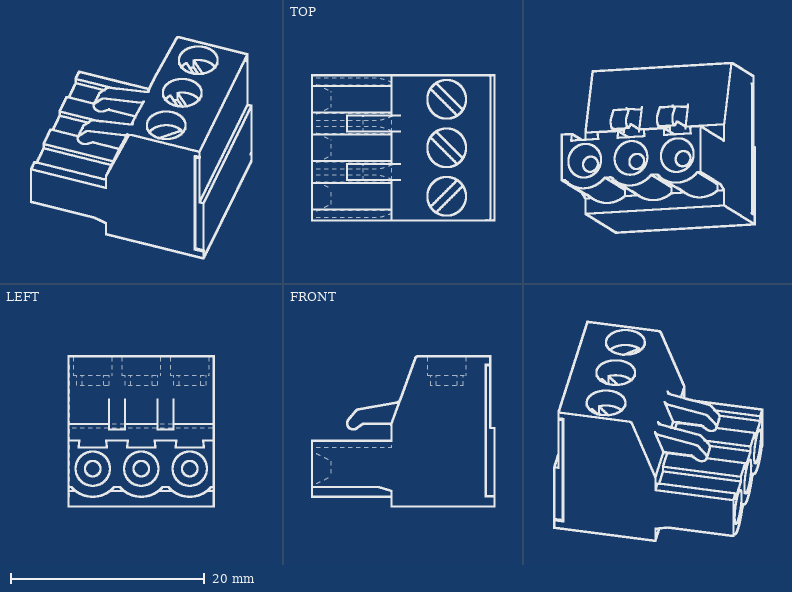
import cadquery as cq
import math


pole_count = 3
pitch = 5.0
width = pole_count * pitch
pole_ys = [(i - (pole_count - 1) / 2) * pitch for i in range(pole_count)]
gap_ys = [(near + far) / 2 for near, far in zip(pole_ys, pole_ys[1:])]

length = 18.85
height = 15.5
plug_length = 8.2
slope_bottom_z = 8.53
slope_lean = 20.0
slope_edge_radius = 0.32
back_step_x = 18.41
back_step_z = 8.1

plug_top_z = 6.8
socket_z = 3.9
barrel_radius = 2.9
web_bottom_z = 2.0
web_ramp_length = 1.3
web_ramp_drop = 0.39

keyway_depth = 0.7
keyway_top_width = 2.76
keyway_floor_width = 2.92

socket_mouth_diameter = 3.54
socket_end_diameter = 1.6
socket_depth = 2.0

screw_x = 13.9
screw_diameter = 4.0
screw_head_depth = 2.0
screw_slot_width = 0.83
screw_slot_depth = 1.0
screw_slot_angles = [45.0, -45.0, -45.0]

latch_width = 1.66
latch_underside_z = slope_bottom_z
latch_root_z = 10.77
latch_top_angle = 10.0
latch_nose_angle = 50.0
latch_bend_x = 4.64
latch_bend_radius = 0.5
latch_tip_radius = 0.63
latch_tip_z = 8.57
latch_chin_angle = 36.0
latch_top_root_radius = 0.5
latch_underside_root_radius = 0.2
latch_embed = 1.0

seam_x = 17.88
seam_bottom_z = 1.02
seam_top_z = 14.64
seam_width = 0.08
seam_depth = 0.1


def slope_x(z):
    """X of the sloped front face at height z."""
    return plug_length + (z - slope_bottom_z) * math.tan(math.radians(slope_lean))


def extrude_across(profile, y_width):
    """Extrude a closed XZ workplane profile along Y, centred on Y = 0."""
    return profile.extrude(y_width / 2, both=True)


def box_between(x_range, y_range, z_range):
    """Box filling the given X, Y and Z ranges."""
    (x0, x1), (y0, y1), (z0, z1) = x_range, y_range, z_range
    return cq.Workplane("XY").box(x1 - x0, y1 - y0, z1 - z0, centered=False).translate((x0, y0, z0))


def round_edge(solid, x, z, radius):
    """Fillet the edge running along Y through (x, z); the solid must be centred on Y = 0."""
    nearest = cq.selectors.NearestToPointSelector((x, 0, z))
    return solid.edges(nearest).fillet(radius)


def make_housing():
    slope_top_x = slope_x(height)
    profile = (
        cq.Workplane("XZ")
        .moveTo(plug_length, 0)
        .lineTo(length, 0)
        .lineTo(length, back_step_z)
        .lineTo(back_step_x, back_step_z)
        .lineTo(back_step_x, height)
        .lineTo(slope_top_x, height)
        .lineTo(plug_length, slope_bottom_z)
        .close()
    )
    housing = extrude_across(profile, width)
    return round_edge(housing, slope_top_x, height, slope_edge_radius)


def make_plug():
    web_profile = (
        cq.Workplane("XZ")
        .moveTo(0, plug_top_z)
        .lineTo(0, web_bottom_z)
        .lineTo(plug_length - web_ramp_length, web_bottom_z)
        .lineTo(plug_length, web_bottom_z - web_ramp_drop)
        .lineTo(plug_length, plug_top_z)
        .close()
    )
    plug = extrude_across(web_profile, width)
    for y in pole_ys:
        barrel = cq.Workplane("YZ").center(y, socket_z).circle(barrel_radius).extrude(plug_length)
        plug = plug.union(barrel)
    envelope = box_between((0, plug_length), (-width / 2, width / 2), (0, plug_top_z))
    return plug.intersect(envelope)


def make_keyway(y):
    floor_z = plug_top_z - keyway_depth
    profile = (
        cq.Workplane("YZ")
        .moveTo(y - keyway_floor_width / 2, floor_z)
        .lineTo(y + keyway_floor_width / 2, floor_z)
        .lineTo(y + keyway_top_width / 2, plug_top_z)
        .lineTo(y - keyway_top_width / 2, plug_top_z)
        .close()
    )
    return profile.extrude(plug_length)


def make_socket(y):
    cone = cq.Solid.makeCone(
        socket_mouth_diameter / 2,
        socket_end_diameter / 2,
        socket_depth,
        pnt=cq.Vector(0, y, socket_z),
        dir=cq.Vector(1, 0, 0),
    )
    return cq.Workplane(cone)


def make_screw_well(y, slot_angle):
    """Round well down to the screw head, plus the driver slot cut into the head."""
    top = cq.Workplane("XY", origin=(screw_x, y, height))
    well = top.circle(screw_diameter / 2).extrude(-screw_head_depth)
    deep_well = top.circle(screw_diameter / 2).extrude(-screw_head_depth - screw_slot_depth)
    slot = (
        top.transformed(rotate=(0, 0, slot_angle))
        .rect(screw_diameter, screw_slot_width)
        .extrude(-screw_head_depth - screw_slot_depth)
    )
    return well.union(slot.intersect(deep_well))


def make_latch(y):
    """Hook rooted in the sloped face: flat underside, rising top, round downturned tip."""
    top_slope = math.tan(math.radians(latch_top_angle))
    nose = math.radians(latch_nose_angle)
    chin = math.radians(latch_chin_angle)
    tip_diagonal = latch_tip_radius * math.sqrt(0.5)

    root_x = slope_x(latch_root_z)
    bend_z = latch_root_z - (root_x - latch_bend_x) * top_slope

    nose_end_z = latch_tip_z + latch_tip_radius * math.cos(nose)
    nose_end_x = latch_bend_x - (bend_z - nose_end_z) / math.tan(nose)
    tip_x = nose_end_x + latch_tip_radius * math.sin(nose)

    chin_start_x = tip_x + latch_tip_radius * math.sin(chin)
    chin_start_z = latch_tip_z - latch_tip_radius * math.cos(chin)
    chin_end_x = chin_start_x + (latch_underside_z - chin_start_z) / math.tan(chin)

    root_top_z = latch_root_z + latch_top_root_radius
    root_bottom_z = latch_underside_z - 2 * latch_underside_root_radius
    embed_x = slope_x(root_top_z) + latch_embed

    profile = (
        cq.Workplane("XZ")
        .moveTo(root_x, latch_root_z)
        .lineTo(latch_bend_x, bend_z)
        .lineTo(nose_end_x, nose_end_z)
        .threePointArc(
            (tip_x - tip_diagonal, latch_tip_z - tip_diagonal),
            (chin_start_x, chin_start_z),
        )
        .lineTo(chin_end_x, latch_underside_z)
        .lineTo(plug_length, latch_underside_z)
        .lineTo(plug_length, root_bottom_z)
        .lineTo(embed_x, root_bottom_z)
        .lineTo(embed_x, root_top_z)
        .lineTo(slope_x(root_top_z), root_top_z)
        .close()
    )
    latch = extrude_across(profile, latch_width)
    latch = round_edge(latch, latch_bend_x, bend_z, latch_bend_radius)
    latch = round_edge(latch, root_x, latch_root_z, latch_top_root_radius)
    latch = round_edge(latch, plug_length, latch_underside_z, latch_underside_root_radius)
    return latch.translate((0, y, 0))


def make_seam(side):
    """Narrow groove framing the cover on one flank; side is -1 or +1."""
    y_range = sorted((side * width / 2, side * (width / 2 - seam_depth)))
    frame = box_between((seam_x, length), y_range, (seam_bottom_z, seam_top_z))
    cover = box_between(
        (seam_x + seam_width, length),
        y_range,
        (seam_bottom_z + seam_width, seam_top_z - seam_width),
    )
    return frame.cut(cover)


result = make_housing().union(make_plug())
for y in gap_ys:
    result = result.union(make_latch(y))
for y, slot_angle in zip(pole_ys, screw_slot_angles):
    result = result.cut(make_keyway(y))
    result = result.cut(make_socket(y))
    result = result.cut(make_screw_well(y, slot_angle))
for side in (-1, 1):
    result = result.cut(make_seam(side))